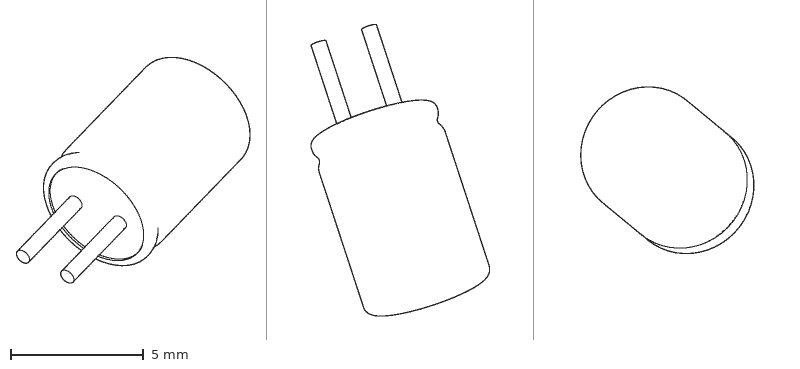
import cadquery as cq
import math

can_diameter = 5.0
can_length = 7.0
closed_end_fillet = 0.35
sealed_end_fillet = 0.25

crimp_center_y = 0.77
crimp_depth = 0.15
crimp_half_width = 0.465
crimp_floor_half_width = 0.175

seal_diameter = 4.29
seal_recess = 0.1

lead_diameter = 0.6
lead_spacing = 2.0
lead_length = 3.5

can_radius = can_diameter / 2

crimp_angle = 2 * math.atan(crimp_depth / crimp_half_width)
crimp_floor_radius = crimp_floor_half_width / math.sin(crimp_angle)
crimp_shoulder_radius = (crimp_half_width - crimp_floor_half_width) / math.sin(crimp_angle)


def corner_arc_midpoint(center_x, center_y, radius, y_direction):
    """Middle of a quarter round that faces outward and toward +Y or -Y."""
    offset = radius * math.sqrt(0.5)
    return (center_x + offset, center_y + y_direction * offset)


def shoulder_midpoint(side):
    """Middle of the convex arc on the +Y (side = 1) or -Y (side = -1) edge of the crimp."""
    half_angle = crimp_angle / 2
    x = can_radius - crimp_shoulder_radius * (1 - math.cos(half_angle))
    y = crimp_center_y + side * (crimp_half_width - crimp_shoulder_radius * math.sin(half_angle))
    return (x, y)


def make_can():
    """Revolve the half section of the can about the Y axis."""
    crimp_floor_x = can_radius - crimp_depth
    floor_edge_x = crimp_floor_x + crimp_floor_radius * (1 - math.cos(crimp_angle))
    rim_radius = can_radius - sealed_end_fillet
    top_radius = can_radius - closed_end_fillet
    top_fillet_y = can_length - closed_end_fillet
    section = (
        cq.Workplane("XY")
        .moveTo(0, 0)
        .lineTo(rim_radius, 0)
        .threePointArc(
            corner_arc_midpoint(rim_radius, sealed_end_fillet, sealed_end_fillet, -1),
            (can_radius, sealed_end_fillet),
        )
        .lineTo(can_radius, crimp_center_y - crimp_half_width)
        .threePointArc(shoulder_midpoint(-1), (floor_edge_x, crimp_center_y - crimp_floor_half_width))
        .threePointArc(
            (crimp_floor_x, crimp_center_y),
            (floor_edge_x, crimp_center_y + crimp_floor_half_width),
        )
        .threePointArc(shoulder_midpoint(1), (can_radius, crimp_center_y + crimp_half_width))
        .lineTo(can_radius, top_fillet_y)
        .threePointArc(
            corner_arc_midpoint(top_radius, top_fillet_y, closed_end_fillet, 1),
            (top_radius, can_length),
        )
        .lineTo(0, can_length)
        .close()
    )
    return section.revolve(360, (0, 0, 0), (0, 1, 0))


def make_seal_recess():
    """Shallow disc removed from the sealed end, inside the rolled rim."""
    return cq.Workplane("XZ").circle(seal_diameter / 2).extrude(-seal_recess)


def make_leads():
    """Two round wires from the seal face out along -Y."""
    return (
        cq.Workplane("XZ", origin=(0, seal_recess, 0))
        .pushPoints([(-lead_spacing / 2, 0), (lead_spacing / 2, 0)])
        .circle(lead_diameter / 2)
        .extrude(lead_length + seal_recess)
    )


result = make_can().cut(make_seal_recess()).union(make_leads())